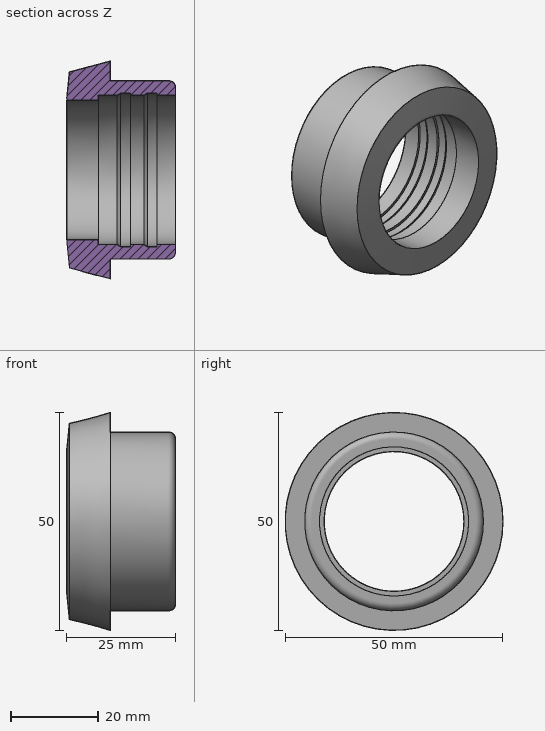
import cadquery as cq

length = 25.0
flange_radius = 25.0
flange_width = 10.0
face_radius = 22.5
face_setback = 0.6
collar_radius = 41.0 / 2
collar_fillet = 1.6

mouth_radius = 32.0 / 2
mouth_rim_width = 0.5
mouth_depth = 7.25
bore_radius = 34.2 / 2

groove_radius = 35.2 / 2
groove_width = 3.0
groove_slope_length = 0.8
first_groove_start = 11.6
groove_pitch = 6.1
groove_count = 2


def make_body():
    """Flange with a tapered rim and slightly conical face, plus the collar."""
    fillet_start = (length - collar_fillet, collar_radius)
    fillet_end = (length, collar_radius - collar_fillet)
    return (
        cq.Workplane("XY")
        .moveTo(0, 0)
        .lineTo(0, mouth_radius + mouth_rim_width)
        .lineTo(face_setback, face_radius)
        .lineTo(flange_width, flange_radius)
        .lineTo(flange_width, collar_radius)
        .lineTo(*fillet_start)
        .tangentArcPoint(fillet_end, relative=False)
        .lineTo(length, 0)
        .close()
        .revolve(360, (0, 0), (1, 0))
    )


def make_bore():
    """Narrow mouth opening into the wider bore."""
    return (
        cq.Workplane("XY")
        .moveTo(0, 0)
        .lineTo(0, mouth_radius)
        .lineTo(mouth_depth, mouth_radius)
        .lineTo(mouth_depth, bore_radius)
        .lineTo(length, bore_radius)
        .lineTo(length, 0)
        .close()
        .revolve(360, (0, 0), (1, 0))
    )


def make_groove(start):
    """Ring groove with a sloped front wall and a square rear wall."""
    end = start + groove_width
    return (
        cq.Workplane("XY")
        .moveTo(start, 0)
        .lineTo(start, bore_radius)
        .lineTo(start + groove_slope_length, groove_radius)
        .lineTo(end, groove_radius)
        .lineTo(end, 0)
        .close()
        .revolve(360, (0, 0), (1, 0))
    )


result = make_body().cut(make_bore())
for index in range(groove_count):
    result = result.cut(make_groove(first_groove_start + index * groove_pitch))